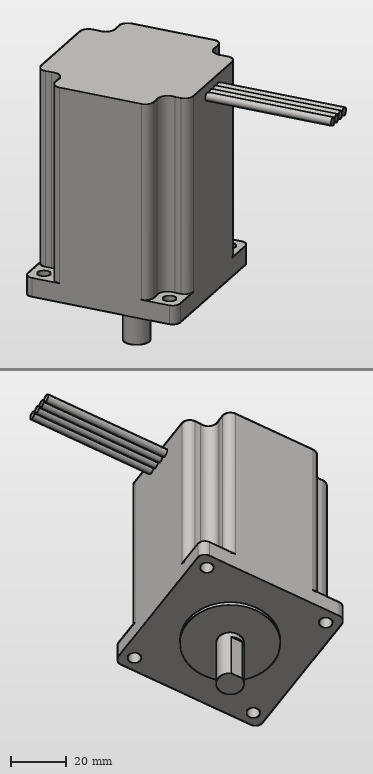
import cadquery as cq
import math

overall_length = 110.5

flange_side = 60.5
flange_thickness = 7.5
flange_corner_radius = 3.0
hole_spacing = 50.0
hole_diameter = 4.9

motor_height = 85.0
half_body = flange_side / 2

notch_wall_inset = 10.6
notch_lip_radius = 3.4
notch_root_inset = 6.7
notch_root_radius = 4.0

pilot_diameter = 36.0
pilot_height = 1.5
shaft_diameter = 10.1
shaft_length = 24.0
flat_length = 20.0
flat_depth = 0.5

wire_count = 4
wire_diameter = 3.2
wire_overlap = 0.05
wire_depth_below_top = 5.0
wire_root_depth = 1.1


def make_flange():
    plate = (
        cq.Workplane("XY")
        .rect(flange_side, flange_side)
        .extrude(flange_thickness)
        .edges("|Z")
        .fillet(flange_corner_radius)
    )
    return (
        plate.faces(">Z")
        .workplane()
        .rect(hole_spacing, hole_spacing, forConstruction=True)
        .vertices()
        .hole(hole_diameter)
    )


def make_corner_notch():
    """Cutter for the notch in the +X +Y corner of the body."""
    wall = half_body - notch_wall_inset
    lip_end = wall - notch_lip_radius
    lip_start = half_body - notch_lip_radius
    lip_middle_shift = notch_lip_radius * math.sqrt(0.5)
    root_center = half_body - notch_root_inset
    wall_to_center = notch_wall_inset - notch_root_inset
    wall_end = root_center + math.sqrt(notch_root_radius**2 - wall_to_center**2)
    root_middle = root_center - notch_root_radius * math.sqrt(0.5)
    lip_along = lip_end + lip_middle_shift
    lip_across = lip_start + lip_middle_shift
    return (
        cq.Workplane("XY", origin=(0, 0, flange_thickness))
        .moveTo(half_body, half_body)
        .lineTo(lip_end, half_body)
        .threePointArc((lip_along, lip_across), (wall, lip_start))
        .lineTo(wall, wall_end)
        .threePointArc((root_middle, root_middle), (wall_end, wall))
        .lineTo(lip_start, wall)
        .threePointArc((lip_across, lip_along), (half_body, lip_end))
        .close()
        .extrude(motor_height - flange_thickness)
    )


def make_body():
    body = (
        cq.Workplane("XY", origin=(0, 0, flange_thickness))
        .rect(flange_side, flange_side)
        .extrude(motor_height - flange_thickness)
    )
    notch = make_corner_notch()
    for quarter_turn in range(4):
        axis_start = (0, 0, 0)
        axis_end = (0, 0, 1)
        body = body.cut(notch.rotate(axis_start, axis_end, 90 * quarter_turn))
    return body


def make_pilot():
    return cq.Workplane("XY").circle(pilot_diameter / 2).extrude(-pilot_height)


def make_shaft():
    shaft = cq.Workplane("XY").circle(shaft_diameter / 2).extrude(-shaft_length)
    flat_cutter = (
        cq.Workplane("XY", origin=(0, shaft_diameter / 2 - flat_depth, -shaft_length))
        .box(shaft_diameter, shaft_diameter, flat_length, centered=(True, False, False))
    )
    return shaft.cut(flat_cutter)


def make_wires():
    """Row of wires leaving the +X side, rooted a little inside the body."""
    root_x = half_body - wire_root_depth
    pitch = wire_diameter - wire_overlap
    wire_z = motor_height - wire_depth_below_top
    wire_tip_x = overall_length - half_body
    wires = cq.Workplane("XY")
    for index in range(wire_count):
        wire_y = (index - (wire_count - 1) / 2) * pitch
        wire = (
            cq.Workplane("YZ", origin=(root_x, wire_y, wire_z))
            .circle(wire_diameter / 2)
            .extrude(wire_tip_x - root_x)
        )
        wires = wires.union(wire)
    return wires


result = (
    make_flange()
    .union(make_body())
    .union(make_pilot())
    .union(make_shaft())
    .union(make_wires())
)